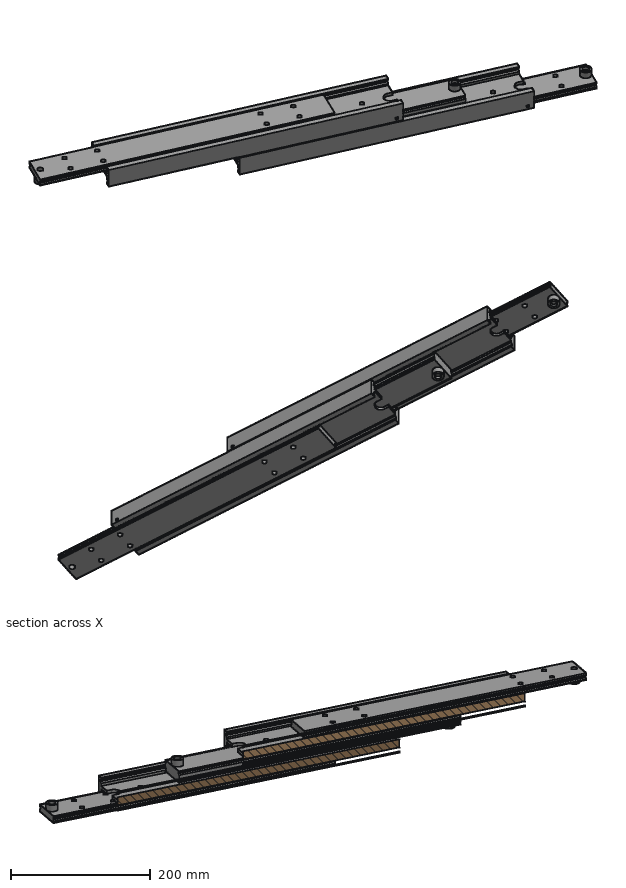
import cadquery as cq
overall_length = 850.0
overall_height = 64.0
member_length = 450.0
step_count = 4
step = (overall_length - member_length) / step_count

channel_width = 70.0
tier_height = overall_height / 2
channel_clearance = 1.0
flange_thickness = 8.5
web_bottom = 13.0
web_thickness = 5.0
flange_inner_x = channel_width / 2 - flange_thickness

rail_width = 45.0
outer_rail_height = 11.0
middle_rail_height = 18.0

groove_opening = 7.0
groove_floor = 2.5
flange_groove_depth = 2.5
rail_groove_depth = 2.0
groove_height = 6.4

stop_diameter = 17.0
stop_height = 10.0
stop_socket_diameter = 10.0
stop_socket_depth = 5.0
stop_inset = stop_diameter / 2
notch_width = 18.0
notch_arc_inset = 8.0

mounting_hole_diameter = 7.0
mounting_hole_x = 13.0
hole_pitch = step / 2
stop_hole_diameter = 8.5
web_hole_diameter = 7.0
web_hole_inset = hole_pitch
flange_hole_diameter = 4.0
flange_hole_inset = 9.0

half_length = member_length / 2


def member_center(position):
    """Y of a member's middle; position 0 is the +Y-most member."""
    return overall_length / 2 - half_length - position * step


def block(width, height, bottom):
    """Full-length block, centred on X and Y, standing on the given Z."""
    return cq.Workplane("XY").box(width, member_length, height, centered=(True, True, False)).translate(
        (0, 0, bottom)
    )


def groove_bar(face_x, z, floor_x):
    """Full-length bar that cuts a tapering groove from the side face at face_x down to floor_x."""
    outline = [
        (face_x, z - groove_opening / 2),
        (floor_x, z - groove_floor / 2),
        (floor_x, z + groove_floor / 2),
        (face_x, z + groove_opening / 2),
    ]
    return cq.Workplane("XZ").polyline(outline).close().extrude(half_length, both=True)


def cut_rail_grooves(rail, z):
    face_x = rail_width / 2
    for side in (-1, 1):
        rail = rail.cut(groove_bar(side * face_x, z, side * (face_x - rail_groove_depth)))
    return rail


def vertical_cylinder(diameter, x, y, bottom, height):
    return cq.Workplane("XY", origin=(x, y, bottom)).circle(diameter / 2).extrude(height)


def stop(y, bottom):
    """Round stop standing on a rail, with a blind socket in its top."""
    body = vertical_cylinder(stop_diameter, 0, y, bottom, stop_height)
    socket_bottom = bottom + stop_height - stop_socket_depth
    return body.cut(vertical_cylinder(stop_socket_diameter, 0, y, socket_bottom, stop_socket_depth))


def half_turn(body):
    """Turn a body upside down and end for end, about its own X axis."""
    return body.rotate((0, 0, 0), (1, 0, 0), 180)


def make_outer_rail():
    """Rail with its back at Z = 0, mounting holes and a stop at its +Y end."""
    rail = cut_rail_grooves(block(rail_width, outer_rail_height, 0), groove_height)
    for end in (-1, 1):
        for pitches in (1, 2):
            y = end * (half_length - pitches * hole_pitch)
            for side in (-1, 1):
                rail = rail.cut(
                    vertical_cylinder(mounting_hole_diameter, side * mounting_hole_x, y, 0, outer_rail_height)
                )
    stop_y = half_length - stop_inset
    rail = rail.cut(vertical_cylinder(stop_hole_diameter, 0, stop_y, 0, outer_rail_height))
    return rail.union(stop(stop_y, outer_rail_height))


def make_middle_rail():
    """Double rail centred on Z = 0, with a stop on top at +Y and one below at -Y."""
    rail = block(rail_width, middle_rail_height, -middle_rail_height / 2)
    for level in (-1, 1):
        rail = cut_rail_grooves(rail, level * groove_height)
    end_stop = stop(half_length - stop_inset, middle_rail_height / 2)
    return rail.union(end_stop).union(half_turn(end_stop))


def end_notch(end):
    """Round-bottomed slot that opens through one end of the web."""
    arc_y = end * (half_length - notch_arc_inset)
    mouth = cq.Workplane("XY").box(notch_width, notch_arc_inset, tier_height, centered=(True, True, False))
    mouth = mouth.translate((0, end * (half_length - notch_arc_inset / 2), 0))
    return mouth.union(vertical_cylinder(notch_width, 0, arc_y, 0, tier_height))


def make_channel(web_z, flange_hole_z):
    """H-shaped channel in the tier that starts at Z = 0, with its web's underside at web_z."""
    web_top = web_z + web_thickness
    slot_width = 2 * flange_inner_x
    channel = block(channel_width, tier_height - 2 * channel_clearance, channel_clearance)
    channel = channel.cut(block(slot_width, web_z, 0))
    channel = channel.cut(block(slot_width, tier_height - web_top, web_top))
    for z in (groove_height, tier_height - groove_height):
        for side in (-1, 1):
            floor_x = flange_inner_x + flange_groove_depth
            channel = channel.cut(groove_bar(side * flange_inner_x, z, side * floor_x))
    for end in (-1, 1):
        channel = channel.cut(end_notch(end))
    web_hole_y = half_length - web_hole_inset
    channel = channel.cut(vertical_cylinder(web_hole_diameter, 0, web_hole_y, 0, tier_height))
    flange_holes = (
        cq.Workplane("YZ", origin=(0, half_length - flange_hole_inset, flange_hole_z))
        .circle(flange_hole_diameter / 2)
        .extrude(channel_width / 2, both=True)
    )
    return channel.cut(flange_holes)


lower_rail = make_outer_rail().translate((0, member_center(0), 0))
lower_channel = make_channel(web_bottom, groove_height).translate((0, member_center(1), 0))
middle_rail = make_middle_rail().translate((0, member_center(2), tier_height))
upper_web_bottom = tier_height - web_bottom - web_thickness
upper_channel = make_channel(upper_web_bottom, groove_height).translate((0, member_center(3), tier_height))
upper_rail = half_turn(make_outer_rail()).translate((0, member_center(4), overall_height))

result = cq.Compound.makeCompound([
    lower_rail.val(),
    lower_channel.val(),
    middle_rail.val(),
    upper_channel.val(),
    upper_rail.val(),
])